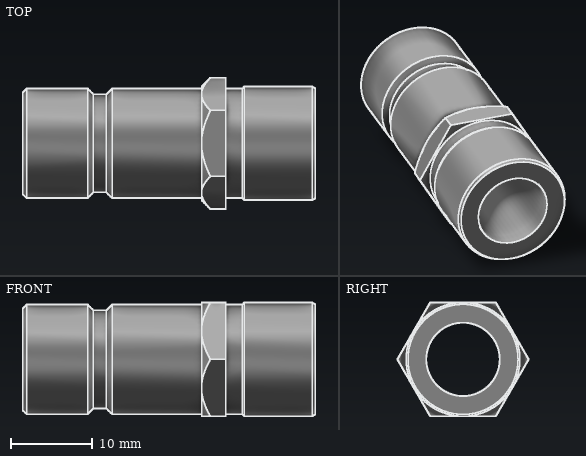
import cadquery as cq
import math

total_length = 36.0
body_radius = 13.5 / 2
bore_radius = 9.0 / 2
front_chamfer = 0.5

groove_start = 8.0
groove_end = 11.0
groove_radius = 12.1 / 2
groove_wall_length = body_radius - groove_radius

hex_start = 22.0
hex_length = 3.0
hex_across_flats = 14.0
hex_across_corners = hex_across_flats / math.cos(math.radians(30))
hex_chamfer_radius = hex_across_flats / 2
hex_chamfer_length = hex_across_corners / 2 - hex_chamfer_radius

thread_start = 27.0
thread_radius = 14.0 / 2
thread_start_chamfer = thread_radius - body_radius
thread_end_chamfer_length = 0.4
thread_end_chamfer_angle = math.radians(30)
thread_end_chamfer_depth = thread_end_chamfer_length * math.tan(thread_end_chamfer_angle)


def revolve_about_x(profile):
    """Turn a closed (x, radius) profile into a solid about the X axis."""
    return cq.Workplane("XY").polyline(profile).close().revolve(360, (0, 0), (1, 0))


def make_turned_body():
    return revolve_about_x([
        (0, 0),
        (0, body_radius - front_chamfer),
        (front_chamfer, body_radius),
        (groove_start, body_radius),
        (groove_start + groove_wall_length, groove_radius),
        (groove_end - groove_wall_length, groove_radius),
        (groove_end, body_radius),
        (thread_start, body_radius),
        (thread_start + thread_start_chamfer, thread_radius),
        (total_length - thread_end_chamfer_length, thread_radius),
        (total_length, thread_radius - thread_end_chamfer_depth),
        (total_length, 0),
    ])


def make_hex_collar():
    """Hexagon with its front corners cut back by a cone."""
    corner_radius = hex_across_corners / 2
    hex_end = hex_start + hex_length
    prism = (
        cq.Workplane("YZ", origin=(hex_start, 0, 0))
        .polygon(6, hex_across_corners)
        .extrude(hex_length)
    )
    cone_envelope = revolve_about_x([
        (hex_start, 0),
        (hex_start, hex_chamfer_radius),
        (hex_start + hex_chamfer_length, corner_radius),
        (hex_end, corner_radius),
        (hex_end, 0),
    ])
    return prism.intersect(cone_envelope)


def make_bore():
    return cq.Workplane("YZ").circle(bore_radius).extrude(total_length)


result = make_turned_body().union(make_hex_collar()).cut(make_bore())